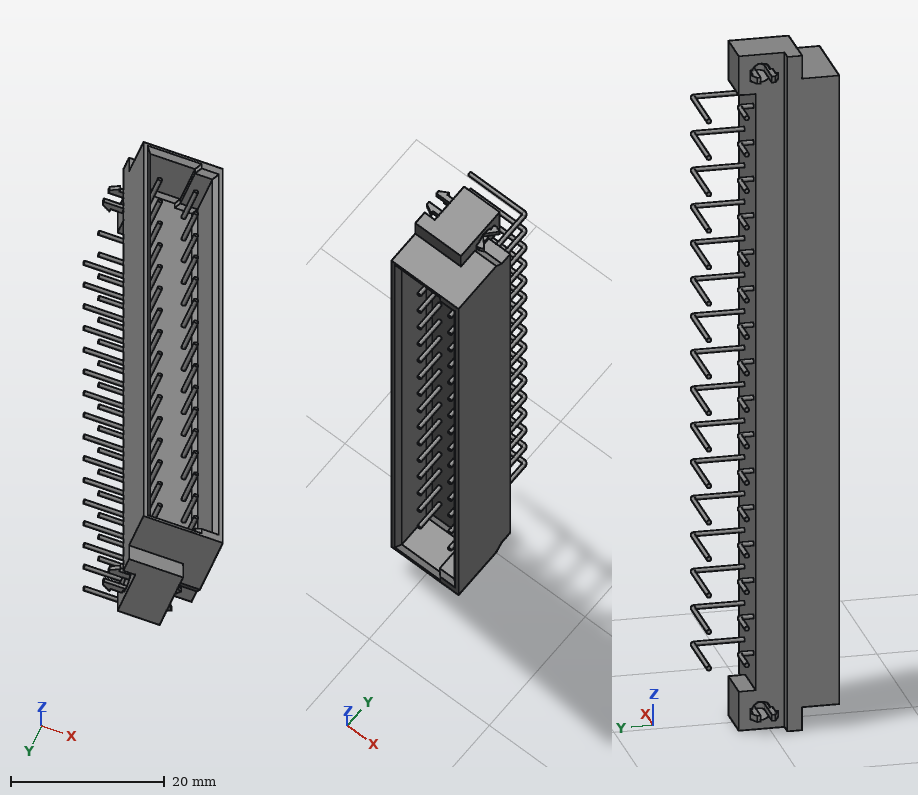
import cadquery as cq


overall_length = 94.0
hood_length = 87.6
ear_depth = 5.45
housing_left = 1.1
housing_right = 12.3
ear_right = 8.7
rear_left = 2.8
ear_front = 5.0
rear_step = 7.0
body_back = 10.8
ear_back = 13.1
corner_slope_front = 7.9
corner_slope_size = 1.1

rim_wall = 0.6
key_left = 9.3
key_depth = 1.0
lead_in_size = 0.7
floor_bevel_size = 0.6
cavity_floor = 6.3

pin_diameter = 0.6
pins_per_row = 16
pin_row_length = 76.2
pin_pitch = pin_row_length / (pins_per_row - 1)
row_spacing = pin_pitch
pin_centre_z = pin_pitch / 4
pin_tip_y = 1.9
near_row_x = 4.2
overall_depth = 18.05
far_tail_y = overall_depth - pin_diameter / 2
bend_radius = 0.4

lock_hole_diameter = 2.5
lock_hole_spacing = 88.9
lock_hole_y = 10.1
lock_thickness = 0.8
lock_body_half_width = 1.1
lock_leg_half_width = 1.5
lock_barb_half_width = 1.9
lock_slot_width = 1.5
lock_barb_length = 1.2
lock_tip_half_width = 1.2
lock_head_length = 1.1
lock_head_shoulder = 0.5
lock_head_notch_depth = 1.5
lock_head_notch_half_width = 1.6
lock_web_left = 4.2


def box(x_range, y_range, z_range):
    """Axis-aligned box between two limits on each axis."""
    size = [high - low for low, high in (x_range, y_range, z_range)]
    corner = (x_range[0], y_range[0], z_range[0])
    return cq.Workplane("XY").box(*size, centered=False).translate(corner)


def cavity_outline(inset, depth):
    """Stepped cavity outline, shrunk evenly by an inset, at a depth behind the rim."""
    left = housing_left + rim_wall + inset
    right = housing_right - rim_wall - inset
    step = key_left - inset
    half_tall = hood_length / 2 - rim_wall - inset
    half_short = half_tall - key_depth
    points = [
        (left, half_tall), (step, half_tall), (step, half_short), (right, half_short),
        (right, -half_short), (step, -half_short), (step, -half_tall), (left, -half_tall),
    ]
    return cq.Wire.makePolygon([cq.Vector(x, depth, z) for x, z in points], close=True)


def make_cavity():
    """Solid to cut: sloped lead-in at the rim, straight walls, and a bevel around the floor."""
    rim = cavity_outline(0, 0)
    lead_in_end = cavity_outline(lead_in_size, lead_in_size)
    bevel_start = cavity_outline(lead_in_size, cavity_floor - floor_bevel_size)
    floor = cavity_outline(lead_in_size + floor_bevel_size, cavity_floor)
    lead_in = cq.Workplane(cq.Solid.makeLoft([rim, lead_in_end], True))
    walls = cq.Workplane(cq.Solid.makeLoft([lead_in_end, bevel_start], True))
    bevel = cq.Workplane(cq.Solid.makeLoft([bevel_start, floor], True))
    return lead_in.union(walls).union(bevel)


def corner_relief():
    """Material removed behind the +Z end of the hood, beside the ear, down a 45 degree slope."""
    top = hood_length / 2
    slope_back = corner_slope_front + corner_slope_size
    low = top - corner_slope_size
    return (
        cq.Workplane("YZ", origin=(ear_right, 0, 0))
        .polyline([(corner_slope_front, top), (slope_back, low), (body_back, low), (body_back, top)])
        .close()
        .extrude(housing_right - ear_right)
    )


def make_housing():
    """Hood with a rear mounting ear at each end, the keyed cavity and the board lock holes."""
    half_length = overall_length / 2
    half_hood = hood_length / 2
    housing = box((housing_left, housing_right), (0, body_back), (-half_hood, half_hood))
    housing = housing.union(
        box((housing_left, ear_right), (ear_front, ear_back), (-half_length, half_length))
    )
    ear_inner = half_length - ear_depth
    housing = housing.cut(box((0, ear_right), (body_back, ear_back), (-ear_inner, ear_inner)))
    housing = housing.cut(box((0, rear_left), (rear_step, ear_back), (-half_length, half_length)))
    relief = corner_relief()
    housing = housing.cut(relief).cut(relief.mirror("XY"))
    housing = housing.cut(make_cavity())
    lock_holes = (
        cq.Workplane("YZ")
        .pushPoints([(lock_hole_y, side * lock_hole_spacing / 2) for side in (-1, 1)])
        .circle(lock_hole_diameter / 2)
        .extrude(ear_right)
    )
    return housing.cut(lock_holes)


def make_pin(x, tail_y, z):
    """Round right-angle pin: straight along Y from its tip, then bent towards -X."""
    path = (
        cq.Workplane("XY", origin=(0, 0, z))
        .moveTo(x, pin_tip_y)
        .lineTo(x, tail_y - bend_radius)
        .radiusArc((x - bend_radius, tail_y), -bend_radius)
        .lineTo(0, tail_y)
    )
    section = cq.Workplane("XZ", origin=(x, pin_tip_y, z)).circle(pin_diameter / 2)
    return section.sweep(path)


def make_connector():
    """Housing with its two rows of pins moulded in as one body."""
    connector = make_housing()
    first_z = pin_centre_z - pin_row_length / 2
    for row in range(2):
        x = near_row_x + row * row_spacing
        tail_y = far_tail_y - (1 - row) * row_spacing
        for index in range(pins_per_row):
            connector = connector.union(make_pin(x, tail_y, first_z + index * pin_pitch))
    return connector


def make_board_lock(z):
    """Flat two-legged clip: barbed legs towards -X and a notched head on the ear's right face."""
    slot_half = lock_slot_width / 2
    head_right = ear_right + lock_head_length
    half_outline = [
        (0, 0),
        (0, lock_tip_half_width),
        (lock_barb_length, lock_barb_half_width),
        (lock_barb_length, lock_leg_half_width),
        (rear_left, lock_leg_half_width),
        (rear_left, lock_body_half_width),
        (ear_right, lock_body_half_width),
        (ear_right, lock_barb_half_width),
        (ear_right + lock_head_shoulder, lock_barb_half_width),
        (head_right, lock_head_notch_half_width),
        (head_right - lock_head_notch_depth, 0),
    ]
    half = (
        cq.Workplane("XY", origin=(0, 0, -lock_thickness / 2))
        .polyline(half_outline)
        .close()
        .extrude(lock_thickness)
    )
    lock = half.union(half.mirror("XZ"))
    slot = box((0, lock_web_left), (-slot_half, slot_half), (-lock_thickness, lock_thickness))
    slot_end = (
        cq.Workplane("XY", origin=(lock_web_left, 0, -lock_thickness))
        .circle(slot_half)
        .extrude(2 * lock_thickness)
    )
    return lock.cut(slot).cut(slot_end).translate((0, lock_hole_y, z))


connector = make_connector()
board_locks = [make_board_lock(side * lock_hole_spacing / 2) for side in (-1, 1)]
result = cq.Compound.makeCompound([connector.val(), *[lock.val() for lock in board_locks]])